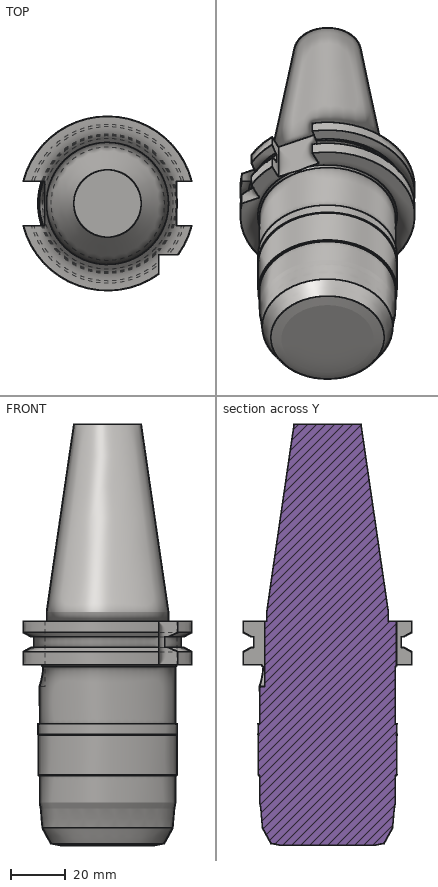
import cadquery as cq

total_height = 153.4
gauge_height = 85.0
flange_top = 81.8
flange_bottom = 65.8

taper_ratio = 7 / 24
gauge_dia = 44.5
small_dia = gauge_dia - taper_ratio * (total_height - gauge_height)

flange_dia = 63.5
groove_dia = 56.1
groove_lip_dia = 57.8
groove_height = 74.1
groove_mouth = 7.0
groove_floor = 3.8

body_dia = 49.5
neck_dia = 50.8
neck_length = 0.8
collar_dia = 50.8
collar_top = 44.3
sleeve_bottom = 25.5
sleeve_dia = 50.6
sleeve_edge_dia = 50.0
sleeve_top = 40.5
sleeve_chamfer = (sleeve_dia - sleeve_edge_dia) / 2
skirt_top = 15.6
skirt_shoulder = 13.5
skirt_dia = 48.8
nose_top = 6.5
nose_dia = 47.5
nose_tip_dia = 41.3
face_dia = 33.6
face_rise = 0.8

slot_width = 16.1
slot_bottom = 58.0
deep_slot_face = 22.9
shallow_slot_face = 25.2
notch_offset = 18.7


def revolve_profile():
    """Revolve the half section, given as (diameter, height) from nose to shank."""
    section = [
        (0, 0),
        (face_dia, 0),
        (nose_tip_dia, face_rise),
        (nose_dia, nose_top),
        (skirt_dia, skirt_shoulder),
        (body_dia, skirt_top),
        (body_dia, sleeve_bottom),
        (sleeve_edge_dia, sleeve_bottom),
        (sleeve_dia, sleeve_bottom + sleeve_chamfer),
        (sleeve_dia, sleeve_top - sleeve_chamfer),
        (sleeve_edge_dia, sleeve_top),
        (collar_dia, sleeve_top),
        (collar_dia, collar_top),
        (body_dia, collar_top),
        (body_dia, flange_bottom - neck_length),
        (neck_dia, flange_bottom),
        (flange_dia, flange_bottom),
        (flange_dia, groove_height - groove_mouth / 2),
        (groove_lip_dia, groove_height - groove_floor / 2),
        (groove_dia, groove_height - groove_floor / 2),
        (groove_dia, groove_height + groove_floor / 2),
        (groove_lip_dia, groove_height + groove_floor / 2),
        (flange_dia, groove_height + groove_mouth / 2),
        (flange_dia, flange_top),
        (gauge_dia, flange_top),
        (gauge_dia, gauge_height),
        (small_dia, total_height),
        (0, total_height),
    ]
    points = [(diameter / 2, height) for diameter, height in section]
    return cq.Workplane("XZ").polyline(points).close().revolve(360, (0, 0), (0, 1))


def drive_slot(face_distance, side):
    """Round-ended slot open at the flange top; side is -1 for -X and 1 for +X."""
    end_radius = slot_width / 2
    end_centre = slot_bottom + end_radius
    return (
        cq.Workplane("YZ", origin=(side * face_distance, 0, 0))
        .moveTo(-end_radius, flange_top)
        .lineTo(-end_radius, end_centre)
        .threePointArc((0, slot_bottom), (end_radius, end_centre))
        .lineTo(end_radius, flange_top)
        .close()
        .extrude(side * flange_dia / 2)
    )


def orientation_notch():
    """Square corner cut through the flange on the +X, -Y side."""
    return cq.Workplane("XY").box(
        flange_dia, flange_dia, flange_top - flange_bottom, centered=False
    ).translate((notch_offset, -notch_offset - flange_dia, flange_bottom))


result = (
    revolve_profile()
    .cut(drive_slot(deep_slot_face, -1))
    .cut(drive_slot(shallow_slot_face, 1))
    .cut(orientation_notch())
)